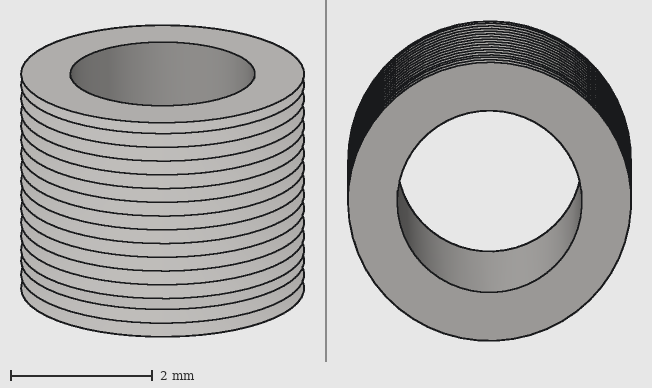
import cadquery as cq

outer_radius = 1.995
bore_radius = 1.3
root_radius = 1.365
height = 3.21
thin_flank = 0.06

groove_count = 16
thin_lower_groove = 2
thin_upper_groove = groove_count - 1
thin_flank_count = 2
full_flank_count = 2 * groove_count - thin_flank_count
full_flank = (height - thin_flank_count * thin_flank) / full_flank_count


def bellows_outline():
    """Half section: plain bore inside, sharp-edged V grooves outside."""
    points = [(bore_radius, 0), (outer_radius, 0)]
    z = 0
    for groove in range(groove_count):
        z += thin_flank if groove == thin_lower_groove else full_flank
        points.append((root_radius, z))
        z += thin_flank if groove == thin_upper_groove else full_flank
        points.append((outer_radius, z))
    points.append((bore_radius, height))
    return points


result = (
    cq.Workplane("XZ")
    .polyline(bellows_outline())
    .close()
    .revolve(360, (0, 0, 0), (0, 1, 0))
    .translate((0, 0, -height / 2))
)